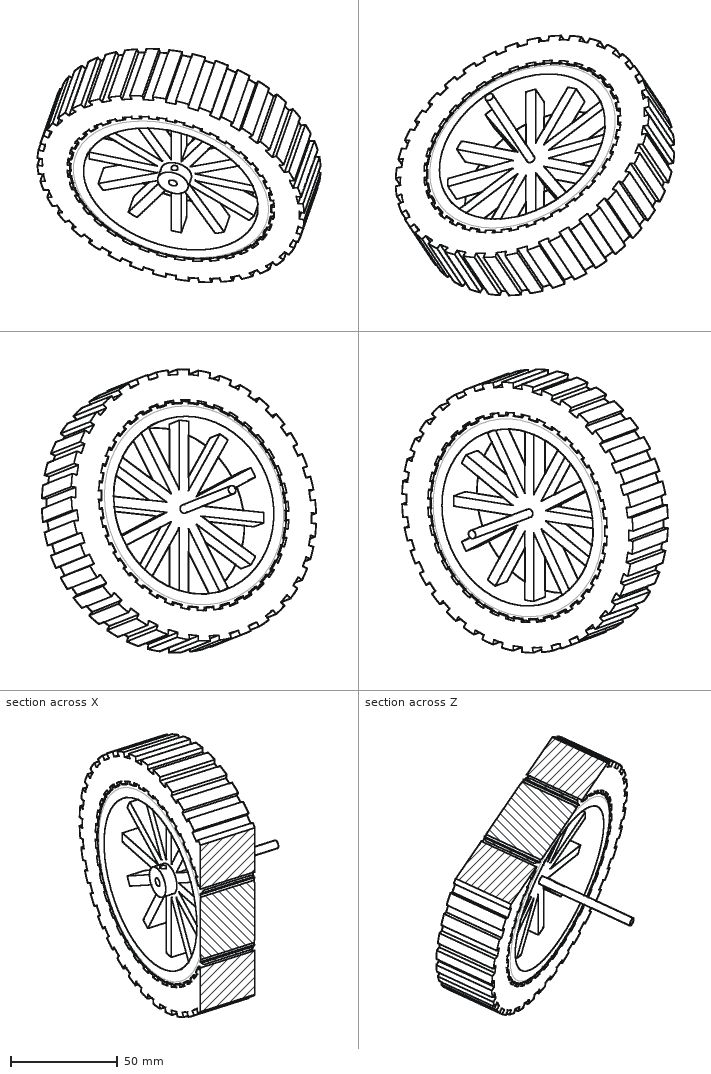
import cadquery as cq
import math

wheel_width = 30.0
notch_count = 36
notch_width = 5.0
tire_span = 129.9
tire_diameter = math.hypot(tire_span, notch_width)
tread_depth = 2.5

rim_inner_diameter = 85.0
rim_outer_diameter = 100.0
rim_edge_radius = 2.5
rim_notch_depth = 1.3
rim_clearance = 0.4

spoke_count = 12
spoke_width = 5.0
spoke_depth = 10.0
spoke_front = (wheel_width - spoke_depth) / 2
hub_diameter = 15.0
hub_projection = 6.1
hub_front = spoke_front - hub_projection
hub_length = hub_projection + spoke_depth
set_screw_diameter = 3.1

axle_diameter = 4.0
axle_projection = 39.0
axle_length = wheel_width + axle_projection - hub_front


def cylinder(diameter, front, length):
    """Solid cylinder on the wheel axis, starting at Y = front."""
    plane = cq.Workplane("XZ", origin=(0, front, 0))
    return plane.circle(diameter / 2).extrude(-length)


def radial_bars(count, inner_radius, outer_radius, width, front, depth):
    """Evenly spaced rectangular bars that point away from the wheel axis, the first along +X."""
    middle_radius = (inner_radius + outer_radius) / 2
    bar = cq.Workplane("XY").box(outer_radius - inner_radius, depth, width)
    bar = bar.translate((middle_radius, front + depth / 2, 0))
    bars = cq.Workplane("XY")
    for index in range(count):
        bars = bars.add(bar.rotate((0, 0, 0), (0, 1, 0), index * 360 / count))
    return bars


def cut_bars(body, bars):
    """Remove all the bars from the body."""
    return body.cut(cq.Workplane(cq.Compound.makeCompound(bars.vals())))


def notched_cylinder(diameter, notch_depth, width, edge_radius=0):
    """Wheel-wide cylinder with straight grooves along its outside."""
    body = cylinder(diameter, 0, wheel_width)
    if edge_radius:
        body = body.faces("<Y or >Y").edges().fillet(edge_radius)
    floor_radius = diameter / 2 - notch_depth
    grooves = radial_bars(notch_count, floor_radius, diameter / 2 + notch_depth, width, 0, wheel_width)
    return cut_bars(body, grooves)


def make_tire():
    """Treaded tire whose bore carries teeth that engage the rim grooves with clearance."""
    tread = notched_cylinder(tire_diameter, tread_depth, notch_width)
    bore_diameter = rim_outer_diameter + 2 * rim_clearance
    tooth_width = notch_width - 2 * rim_clearance
    return tread.cut(notched_cylinder(bore_diameter, rim_notch_depth, tooth_width))


def make_spokes():
    """Spokes from the middle of the hub to halfway inside the rim ring."""
    anchor_radius = (rim_inner_diameter + rim_outer_diameter) / 4
    start_radius = hub_diameter / 4
    return radial_bars(spoke_count, start_radius, anchor_radius, spoke_width, spoke_front, spoke_depth)


def make_rim():
    """Grooved ring, spokes and hub in one piece, bored for the axle."""
    rim = notched_cylinder(rim_outer_diameter, rim_notch_depth, notch_width, rim_edge_radius)
    rim = rim.cut(cylinder(rim_inner_diameter, 0, wheel_width))
    rim = rim.union(cylinder(hub_diameter, hub_front, hub_length))
    for spoke in make_spokes().vals():
        rim = rim.union(cq.Workplane(spoke))
    rim = rim.cut(cylinder(axle_diameter, hub_front, hub_length))
    screw_y = hub_front + hub_projection / 2
    set_screw = cq.Workplane("XY", origin=(0, screw_y, 0)).circle(set_screw_diameter / 2)
    return rim.cut(set_screw.extrude(hub_diameter / 2))


def make_axle():
    """Round axle, flush with the hub front and reaching out behind the wheel."""
    return cylinder(axle_diameter, hub_front, axle_length)


tire = make_tire()
rim = make_rim()
axle = make_axle()

result = cq.Compound.makeCompound([tire.val(), rim.val(), axle.val()])